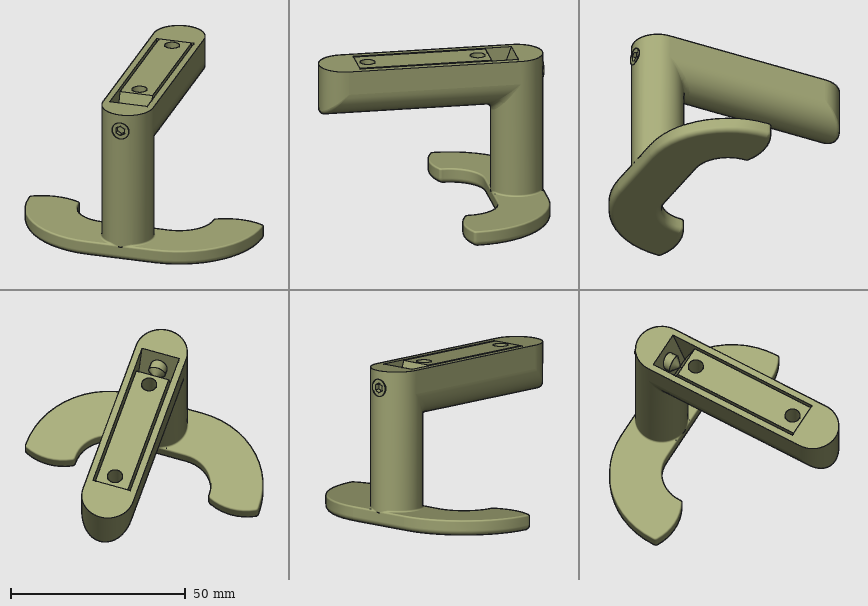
import cadquery as cq
import math

ROD_DIAMETER = 15.0
ROD_RADIUS = ROD_DIAMETER / 2
ARM_REACH = 50.0
TOTAL_HEIGHT = 45.5
ARM_FLAT_HEIGHT = 7.0
ARM_AXIS_Z = TOTAL_HEIGHT - ARM_FLAT_HEIGHT
ARM_END_ROUND = 1.0
ARM_INNER_ROUND = 2.0

PLATE_THICKNESS = 4.5
BEND_RADIUS = 10.0
BEND_X = 10.0
BEND_Y = ROD_RADIUS + BEND_RADIUS
TIP_Y = 20.5
TIP_ARC_RADIUS = 15.0
TIP_CORNER_ROUND = 1.0
PLATE_TOP_ROUND = 0.5
PLATE_BOTTOM_ROUND = 1.5
UPRIGHT_START_Z = PLATE_THICKNESS - PLATE_TOP_ROUND
FOOT_ROUND = 0.5

POCKET_WIDTH = 11.2
POCKET_START_Y = 0.5
POCKET_END_Y = 46.5
POCKET_DEPTH = 11.5
POCKET_FLOOR_ROUND = 1.0
WEDGE_ANGLE = 20.0
WEDGE_SLOPE = math.tan(math.radians(WEDGE_ANGLE))

BAR_WIDTH = 9.7
BAR_START_Y = 8.15
BAR_HEIGHT = 9.0
BAR_HOLE_DIAMETER = 4.3
BAR_HOLE_SPACING = 32.0

SCREW_DIAMETER = 5.0
SCREW_RADIUS = SCREW_DIAMETER / 2
SCREW_DEPTH = 5.0
SCREW_Z = TOTAL_HEIGHT - SCREW_DEPTH
SCREW_START_Y = -ROD_RADIUS
SCREW_CONE_Y = 4.0
SCREW_TIP_Y = BAR_START_Y - SCREW_DEPTH * WEDGE_SLOPE
SOCKET_ACROSS_FLATS = 2.5
SOCKET_DEPTH = 1.5

SELECT_MARGIN = 0.1


def hook_plate():
    """Bar of constant width bent up into a horn at each side."""
    inner_x = BEND_X + BEND_RADIUS
    outer_radius = BEND_RADIUS + ROD_DIAMETER
    outer_x = BEND_X + outer_radius
    diagonal = math.sqrt(0.5)
    corner_y = TIP_Y - TIP_ARC_RADIUS + math.sqrt(TIP_ARC_RADIUS**2 - ROD_RADIUS**2)
    tip_x = (inner_x + outer_x) / 2

    def bend_middle(side, radius):
        return (side * (BEND_X + radius * diagonal), BEND_Y - radius * diagonal)

    outline = (
        cq.Workplane("XY")
        .moveTo(-BEND_X, -ROD_RADIUS)
        .lineTo(BEND_X, -ROD_RADIUS)
        .threePointArc(bend_middle(1, outer_radius), (outer_x, BEND_Y))
        .lineTo(outer_x, corner_y)
        .threePointArc((tip_x, TIP_Y), (inner_x, corner_y))
        .lineTo(inner_x, BEND_Y)
        .threePointArc(bend_middle(1, BEND_RADIUS), (BEND_X, ROD_RADIUS))
        .lineTo(-BEND_X, ROD_RADIUS)
        .threePointArc(bend_middle(-1, BEND_RADIUS), (-inner_x, BEND_Y))
        .lineTo(-inner_x, corner_y)
        .threePointArc((-tip_x, TIP_Y), (-outer_x, corner_y))
        .lineTo(-outer_x, BEND_Y)
        .threePointArc(bend_middle(-1, outer_radius), (-BEND_X, -ROD_RADIUS))
        .close()
    )
    plate = outline.extrude(PLATE_THICKNESS)
    corners = cq.selectors.BoxSelector(
        (-outer_x - SELECT_MARGIN, corner_y - SELECT_MARGIN, 0),
        (outer_x + SELECT_MARGIN, TIP_Y, PLATE_THICKNESS),
    )
    plate = plate.edges("|Z").edges(corners).fillet(TIP_CORNER_ROUND)
    plate = plate.faces("<Z").edges().fillet(PLATE_BOTTOM_ROUND)
    return plate.faces(">Z").edges().fillet(PLATE_TOP_ROUND)


def arm():
    length = ARM_REACH + ROD_DIAMETER
    profile = (
        cq.Workplane("XZ", origin=(0, -ROD_RADIUS, 0))
        .moveTo(-ROD_RADIUS, TOTAL_HEIGHT)
        .lineTo(-ROD_RADIUS, ARM_AXIS_Z)
        .threePointArc((0, ARM_AXIS_Z - ROD_RADIUS), (ROD_RADIUS, ARM_AXIS_Z))
        .lineTo(ROD_RADIUS, TOTAL_HEIGHT)
        .close()
        .extrude(-length)
    )
    rounded = (
        cq.Workplane("XY")
        .center(0, ARM_REACH / 2)
        .slot2D(length, ROD_DIAMETER, 90)
        .extrude(TOTAL_HEIGHT)
    )
    return profile.intersect(rounded)


def half_space(side):
    """Block filling the region in front of (-1) or behind (+1) the plane Y = 0."""
    size = 4 * TOTAL_HEIGHT
    return cq.Workplane("XY").box(size, size, size).translate((0, side * size / 2, 0))


def edges_of_mitre(corner_y):
    """Edges where the round underside of the arm meets a vertical cylinder ending at corner_y."""
    bottom_z = ARM_AXIS_Z - ROD_RADIUS
    return cq.selectors.BoxSelector(
        (-ROD_RADIUS, corner_y - ROD_RADIUS + SELECT_MARGIN, bottom_z - SELECT_MARGIN),
        (ROD_RADIUS, corner_y + SELECT_MARGIN, ARM_AXIS_Z - SELECT_MARGIN),
    )


def bent_rod():
    """Upright and arm; the mitres are rounded on the rear half before the front half joins."""
    upright = (
        cq.Workplane("XY")
        .workplane(offset=UPRIGHT_START_Z)
        .circle(ROD_RADIUS)
        .extrude(TOTAL_HEIGHT - UPRIGHT_START_Z)
    )
    rear = half_space(1)
    rod = arm().intersect(rear).union(upright.intersect(rear))
    rod = rod.edges(edges_of_mitre(ROD_RADIUS)).fillet(ARM_INNER_ROUND)
    rod = rod.edges(edges_of_mitre(ARM_REACH + ROD_RADIUS)).fillet(ARM_END_ROUND)
    return rod.union(upright.intersect(half_space(-1)))


def pocket():
    floor_z = TOTAL_HEIGHT - POCKET_DEPTH
    cavity = (
        cq.Workplane("YZ", origin=(-POCKET_WIDTH / 2, 0, 0))
        .moveTo(POCKET_START_Y, TOTAL_HEIGHT)
        .lineTo(POCKET_START_Y + POCKET_DEPTH * WEDGE_SLOPE, floor_z)
        .lineTo(POCKET_END_Y, floor_z)
        .lineTo(POCKET_END_Y, TOTAL_HEIGHT)
        .close()
        .extrude(POCKET_WIDTH)
    )
    return cavity.faces("<Z").edges().fillet(POCKET_FLOOR_ROUND)


def screw_axis_plane():
    """Plane at the screw's outer end facing -Y."""
    return cq.Workplane("XZ", origin=(0, SCREW_START_Y, SCREW_Z))


def hook_handle():
    body = bent_rod().union(hook_plate())
    foot_edges = cq.selectors.BoxSelector(
        (-ROD_RADIUS - SELECT_MARGIN, -ROD_RADIUS - SELECT_MARGIN, UPRIGHT_START_Z - SELECT_MARGIN),
        (ROD_RADIUS + SELECT_MARGIN, ROD_RADIUS + SELECT_MARGIN, PLATE_THICKNESS + SELECT_MARGIN),
        boundingbox=True,
    )
    body = body.edges(foot_edges).fillet(FOOT_ROUND)
    screw_hole = screw_axis_plane().circle(SCREW_RADIUS).extrude(SCREW_START_Y - SCREW_CONE_Y)
    return body.cut(pocket()).cut(screw_hole)


def mounting_bar():
    bar_bottom_z = TOTAL_HEIGHT - BAR_HEIGHT
    bar = (
        cq.Workplane("YZ", origin=(-BAR_WIDTH / 2, 0, 0))
        .moveTo(BAR_START_Y, TOTAL_HEIGHT)
        .lineTo(BAR_START_Y - BAR_HEIGHT * WEDGE_SLOPE, bar_bottom_z)
        .lineTo(POCKET_END_Y, bar_bottom_z)
        .lineTo(POCKET_END_Y, TOTAL_HEIGHT)
        .close()
        .extrude(BAR_WIDTH)
    )
    middle_y = (BAR_START_Y + POCKET_END_Y) / 2
    holes = (
        cq.Workplane("XY")
        .workplane(offset=bar_bottom_z)
        .pushPoints([(0, middle_y + side * BAR_HOLE_SPACING / 2) for side in (-1, 1)])
        .circle(BAR_HOLE_DIAMETER / 2)
        .extrude(BAR_HEIGHT)
    )
    return bar.cut(holes)


def set_screw():
    screw = (
        cq.Workplane("YZ", origin=(0, 0, SCREW_Z))
        .moveTo(SCREW_START_Y, 0)
        .lineTo(SCREW_START_Y, SCREW_RADIUS)
        .lineTo(SCREW_CONE_Y, SCREW_RADIUS)
        .lineTo(SCREW_TIP_Y, 0)
        .close()
        .revolve(360, (0, 0, 0), (1, 0, 0))
    )
    across_corners = SOCKET_ACROSS_FLATS / math.cos(math.pi / 6)
    socket = (
        screw_axis_plane()
        .transformed(rotate=(0, 0, 90))
        .polygon(6, across_corners)
        .extrude(-SOCKET_DEPTH)
    )
    return screw.cut(socket)


handle = hook_handle()
bar = mounting_bar()
screw = set_screw()
result = cq.Compound.makeCompound([handle.val(), bar.val(), screw.val()])